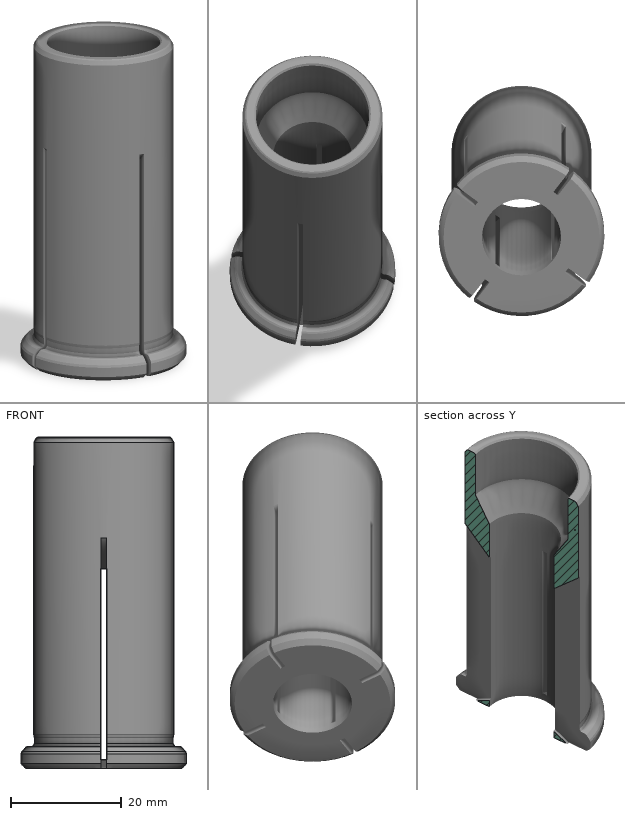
import cadquery as cq

length = 60.0
body_diameter = 25.4
flange_diameter = 30.0
throat_diameter = 14.3
bore_diameter = 20.5

collar_top = 4.0
bottom_chamfer = 0.9
collar_chamfer_bottom = 2.65
collar_edge_height = 0.4
collar_edge_width = 0.2
collar_rim_width = 0.9
collar_rim_drop = 0.2
collar_face_inset = 1.2

neck_diameter = 25.15
neck_bottom = 4.5
neck_foot_width = 0.2
neck_top = 5.6
neck_taper_top = 6.1

top_chamfer_width = 0.5
top_chamfer_height = 0.95
top_edge_width = 0.25
top_edge_height = 0.2
mouth_chamfer = 0.3

cone_bottom = 44.4
cone_top = 49.85

slot_count = 4
slot_width = 1.0
slot_top = 41.7
slot_foot_height = 1.6

body_radius = body_diameter / 2
flange_radius = flange_diameter / 2
neck_radius = neck_diameter / 2
throat_radius = throat_diameter / 2
bore_radius = bore_diameter / 2


def revolve_outline(points):
    return cq.Workplane("XZ").polyline(points).close().revolve(360, (0, 0), (0, 1))


def make_outer_body():
    return revolve_outline([
        (0, 0),
        (flange_radius - bottom_chamfer, 0),
        (flange_radius, bottom_chamfer),
        (flange_radius, collar_chamfer_bottom),
        (flange_radius - collar_edge_width, collar_chamfer_bottom + collar_edge_height),
        (flange_radius - collar_rim_width, collar_top - collar_rim_drop),
        (flange_radius - collar_face_inset, collar_top),
        (body_radius + neck_foot_width, collar_top),
        (neck_radius, neck_bottom),
        (neck_radius, neck_top),
        (body_radius, neck_taper_top),
        (body_radius, length - top_chamfer_height),
        (body_radius - top_chamfer_width, length - top_edge_height),
        (body_radius - top_chamfer_width - top_edge_width, length),
        (0, length),
    ])


def make_bore():
    return revolve_outline([
        (0, 0),
        (throat_radius, 0),
        (throat_radius, cone_bottom),
        (bore_radius, cone_top),
        (bore_radius, length - mouth_chamfer),
        (bore_radius + mouth_chamfer, length),
        (0, length),
    ])


def make_slot():
    wall_thickness = body_radius - throat_radius
    outline = [
        (0, slot_foot_height),
        (throat_radius, slot_foot_height),
        (bore_radius, 0),
        (flange_diameter, 0),
        (flange_diameter, slot_top),
        (body_radius, slot_top),
        (throat_radius, slot_top - wall_thickness),
        (0, slot_top - wall_thickness),
    ]
    return cq.Workplane("XZ").polyline(outline).close().extrude(slot_width / 2, both=True)


result = make_outer_body().cut(make_bore())
for index in range(slot_count):
    result = result.cut(make_slot().rotate((0, 0, 0), (0, 0, 1), index * 360 / slot_count))